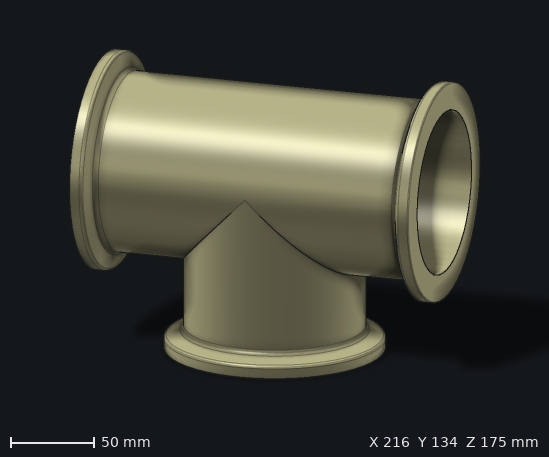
import cadquery as cq
import math

run_length = 216.0
arm_length = run_length / 2
bore_radius = 100.0 / 2
pipe_radius = 110.0 / 2
flange_radius = 134.0 / 2

rim_width = 8.0
taper_angle = 20.0
rim_fillet = 2.2
neck_fillet = 3.2
face_fillet = 0.6

taper_length = (flange_radius - pipe_radius) * math.tan(math.radians(taper_angle))
rim_corner = arm_length - rim_width
neck_corner = rim_corner - taper_length

EDGE_TOLERANCE = 0.02


def circle_at(body, distance, radius):
    """Select the circular edge of an arm at a distance from the tee centre."""
    reach = radius + EDGE_TOLERANCE
    return body.edges(
        cq.selectors.BoxSelector(
            (-reach, -reach, distance - EDGE_TOLERANCE),
            (reach, reach, distance + EDGE_TOLERANCE),
            boundingbox=True,
        )
    )


def make_arm():
    """Solid flanged arm, from the tee centre along +Z."""
    arm = (
        cq.Workplane("XZ")
        .lineTo(pipe_radius, 0)
        .lineTo(pipe_radius, neck_corner)
        .lineTo(flange_radius, rim_corner)
        .lineTo(flange_radius, arm_length)
        .lineTo(0, arm_length)
        .close()
        .revolve(360, (0, 0, 0), (0, 1, 0))
    )
    arm = circle_at(arm, neck_corner, pipe_radius).fillet(neck_fillet)
    arm = circle_at(arm, rim_corner, flange_radius).fillet(rim_fillet)
    return circle_at(arm, arm_length, flange_radius).fillet(face_fillet)


def turn_about_y(body, angle):
    return body.rotate((0, 0, 0), (0, 1, 0), angle)


right_turn = 90
left_turn = -90
down_turn = 180

arm = make_arm()
body = turn_about_y(arm, right_turn)
body = body.union(turn_about_y(arm, left_turn))
body = body.union(turn_about_y(arm, down_turn)).clean()

run_bore = cq.Workplane("YZ").circle(bore_radius).extrude(arm_length, both=True)
branch_bore = cq.Workplane("XY").circle(bore_radius).extrude(-arm_length)
result = body.cut(run_bore).cut(branch_bore)